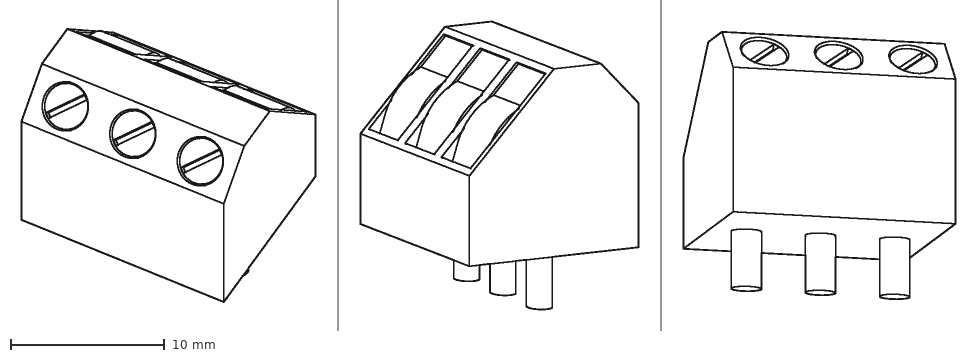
import cadquery as cq
import math


overall_height = 16.3
pole_count = 3
body_length = 15.0
body_depth = 12.5
body_height = 12.5
pole_pitch = body_length / pole_count
screw_slope_depth = 2.79
screw_slope_drop = 2.9
lever_slope_depth = body_depth / 2
lever_slope_foot = 6.01

pin_width = 2.0
pin_thickness = 1.6
pin_length = overall_height - body_height
pin_y = 6.0

screw_hole_diameter = 3.2
screw_head_diameter = 3.0
screw_hole_depth = 1.0
screw_head_recess = 0.2
drive_slot_length = 2.93
drive_slot_width = 0.4
drive_slot_depth = 0.49
drive_slot_angle = 45.0

pocket_width = 4.0
pocket_margin = 0.5
pocket_depth = 1.0
lever_radius = 4.73
lever_axis_along = 4.03
lever_axis_depth = 4.53
lever_ledge_depth = 0.18

lever_slope_rise = body_height - lever_slope_foot
lever_slope_length = math.hypot(lever_slope_depth, lever_slope_rise)
lever_slope_angle = math.atan2(lever_slope_rise, lever_slope_depth)
screw_slope_angle = math.atan2(screw_slope_drop, screw_slope_depth)

pole_centres = [(pole + 0.5) * pole_pitch for pole in range(pole_count)]


def make_body():
    """Block with a short screw slope at the front and a long lever slope at the back."""
    outline = [
        (0, 0),
        (body_depth, 0),
        (body_depth, lever_slope_foot),
        (body_depth - lever_slope_depth, body_height),
        (screw_slope_depth, body_height),
        (0, body_height - screw_slope_drop),
    ]
    return cq.Workplane("YZ").polyline(outline).close().extrude(body_length)


def make_pin(x):
    return (
        cq.Workplane("XY")
        .center(x, pin_y)
        .ellipse(pin_width / 2, pin_thickness / 2)
        .extrude(-pin_length)
    )


def screw_plane(x):
    """Plane on the middle of the screw slope: local X along the row, local Y up the slope."""
    middle = (x, screw_slope_depth / 2, body_height - screw_slope_drop / 2)
    outward = (0, -math.sin(screw_slope_angle), math.cos(screw_slope_angle))
    return cq.Plane(origin=middle, xDir=(1, 0, 0), normal=outward)


def make_screw_hole(x):
    return cq.Workplane(screw_plane(x)).circle(screw_hole_diameter / 2).extrude(-screw_hole_depth)


def make_screw_head(x):
    """Round head, sunk a little below the slope and standing on the floor of its hole."""
    head_top = cq.Workplane(screw_plane(x)).workplane(offset=-screw_head_recess)
    return head_top.circle(screw_head_diameter / 2).extrude(screw_head_recess - screw_hole_depth)


def make_drive_slot(x):
    """Slot across the head, stopping just short of its rim."""
    return (
        cq.Workplane(screw_plane(x))
        .workplane(offset=-screw_head_recess)
        .transformed(rotate=(0, 0, drive_slot_angle))
        .rect(drive_slot_length, drive_slot_width)
        .extrude(-drive_slot_depth)
    )


def lever_plane(x):
    """Plane square to the row: local X up the lever slope from its foot, local Y out of it."""
    foot = (x, body_depth, lever_slope_foot)
    up_slope = (0, -math.cos(lever_slope_angle), math.sin(lever_slope_angle))
    return cq.Plane(origin=foot, xDir=up_slope, normal=(-1, 0, 0))


def make_lever_pocket(x):
    """Pocket block to remove, and the lever to put back in it.

    The lever's outer face is a ramp, a tangent arc bulging past the slope, and a ledge.
    """
    pocket_start = pocket_margin
    pocket_end = lever_slope_length - pocket_margin

    to_axis_along = lever_axis_along - pocket_start
    to_axis_out = pocket_depth - lever_axis_depth
    to_axis = math.hypot(to_axis_along, to_axis_out)
    ramp_angle = math.atan2(to_axis_out, to_axis_along) + math.asin(lever_radius / to_axis)

    def on_arc(angle):
        return (
            lever_axis_along + lever_radius * math.cos(angle),
            -lever_axis_depth + lever_radius * math.sin(angle),
        )

    ramp_end_angle = ramp_angle + math.pi / 2
    ledge_angle = math.asin((lever_axis_depth - lever_ledge_depth) / lever_radius)
    lever = (
        cq.Workplane(lever_plane(x))
        .moveTo(pocket_start, -pocket_depth)
        .lineTo(*on_arc(ramp_end_angle))
        .threePointArc(on_arc((ramp_end_angle + ledge_angle) / 2), on_arc(ledge_angle))
        .lineTo(pocket_end, -lever_ledge_depth)
        .lineTo(pocket_end, -pocket_depth)
        .close()
        .extrude(pocket_width / 2, both=True)
    )
    pocket = (
        cq.Workplane(lever_plane(x))
        .moveTo(pocket_start, -pocket_depth)
        .lineTo(pocket_end, -pocket_depth)
        .lineTo(pocket_end, 0)
        .lineTo(pocket_start, 0)
        .close()
        .extrude(pocket_width / 2, both=True)
    )
    return pocket, lever


result = make_body()
for pole_x in pole_centres:
    pocket, lever = make_lever_pocket(pole_x)
    result = result.cut(pocket).union(lever)
    result = result.cut(make_screw_hole(pole_x)).union(make_screw_head(pole_x))
    result = result.cut(make_drive_slot(pole_x))
    result = result.union(make_pin(pole_x))